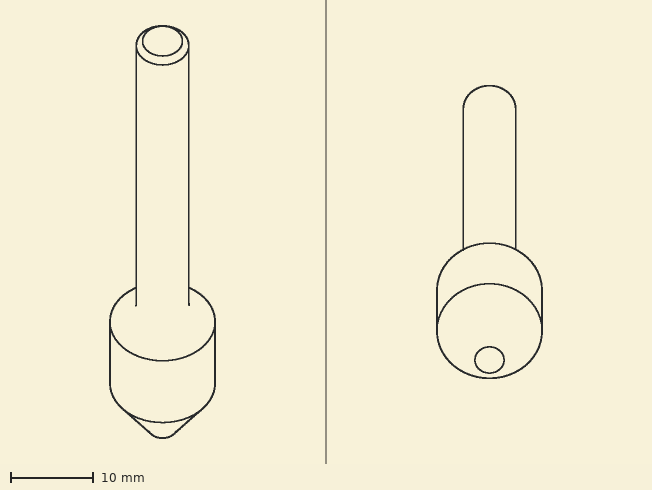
import cadquery as cq
import math

total_length = 69.85
head_diameter = 12.7
shank_diameter = 6.35
tip_height = 7.95
tip_half_angle = 30.0
head_height = 11.2
shank_chamfer = 0.8

head_radius = head_diameter / 2
shank_radius = shank_diameter / 2
tip_end_radius = head_radius - tip_height * math.tan(math.radians(tip_half_angle))
head_top = tip_height + head_height
neck_radius = head_radius - shank_radius
neck_top = head_top + neck_radius


def make_holder():
    """Cylindrical head flaring concavely into a slender chamfered shank."""
    arc_offset = neck_radius * math.cos(math.radians(45))
    flare_midpoint = (head_radius - arc_offset, neck_top - arc_offset)
    profile = (
        cq.Workplane("XZ")
        .moveTo(0, tip_height)
        .lineTo(head_radius, tip_height)
        .lineTo(head_radius, head_top)
        .threePointArc(flare_midpoint, (shank_radius, neck_top))
        .lineTo(shank_radius, total_length - shank_chamfer)
        .lineTo(shank_radius - shank_chamfer, total_length)
        .lineTo(0, total_length)
        .close()
    )
    return profile.revolve(360, (0, 0), (0, 1))


def make_tip():
    """Blunt cone seated flat against the underside of the head."""
    profile = (
        cq.Workplane("XZ")
        .lineTo(tip_end_radius, 0)
        .lineTo(head_radius, tip_height)
        .lineTo(0, tip_height)
        .close()
    )
    return profile.revolve(360, (0, 0), (0, 1))


holder = make_holder()
tip = make_tip()

result = cq.Compound.makeCompound([holder.val(), tip.val()])